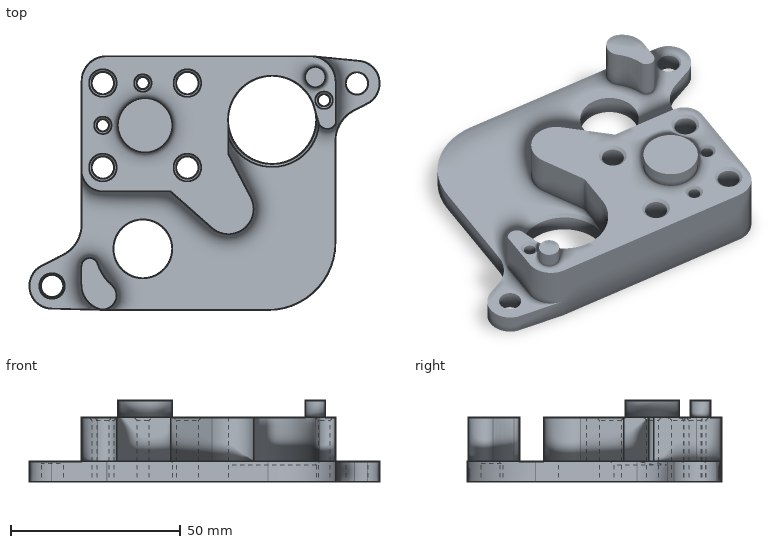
import cadquery as cq
import math

side = 75.0
plate_height = 6.0
block_top = 19.0
total_height = 24.0
corner_radius = 7.5
large_corner_radius = 20.0

lug_radius = 6.7
lug_angle = math.radians(27)
lug_fillet = 10.0
left_lug = (-8.7, 7.1)
right_lug = (81.3, 67.0)

screw_diameter = 6.5
small_diameter = 3.5
block_chamfer = 0.8
lug_chamfer = 0.5
screw_pitch = 24.9
first_screw = (6.3, 42.1)
screw_row_top = first_screw[1] + screw_pitch
screw_column = first_screw[0]
small_holes = [
    (18.1, screw_row_top),
    (screw_column, first_screw[1] + screw_pitch / 2),
    (71.6, 62.0),
]
bore_center = (56.3, 56.2)
bore_diameter = 26.0
bore_chamfer = 0.9
window_center = (18.1, 18.1)
window_diameter = 17.3

block_front = 35.1
block_corner_radius = 6.2
elbow_x = 26.3
arm_center = (43.4, 29.9)
arm_radius = 7.5
notch = (bore_center[0] - bore_diameter / 2, 46.2)
finger_width = 4.9
finger_shoulder = 54.9
finger_tip = 53.5
finger_wall_start = 58.7

post_tip_radius = 2.5
post_tip_y = 12.9
post_foot = (6.2, 4.3)
post_foot_radius = 4.1
post_hollow_radius = 14.1

boss_center = (screw_column + screw_pitch / 2, small_holes[1][1])
boss_diameter = 16.0
pin_center = (69.0, 68.8)
pin_diameter = 6.0


def polar(center, radius, angle):
    """Point on a circle at an angle in radians."""
    return (center[0] + radius * math.cos(angle), center[1] + radius * math.sin(angle))


def direction(start, end):
    """Angle of the line from start to end."""
    return math.atan2(end[1] - start[1], end[0] - start[0])


def tangent_angle(center, radius, point, turn):
    """Angle on a circle where a line from point touches it; turn picks the side."""
    return direction(center, point) + turn * math.acos(radius / math.dist(center, point))


def cylinder(center, diameter, bottom, top):
    return (
        cq.Workplane("XY", origin=(*center, bottom))
        .circle(diameter / 2)
        .extrude(top - bottom)
    )


def drill(center, diameter, top, chamfer):
    """Through hole cutter with a 45 degree chamfer at its top."""
    cone = cq.Solid.makeCone(
        diameter / 2, diameter / 2 + chamfer, chamfer, cq.Vector(*center, top - chamfer)
    )
    return cylinder(center, diameter, 0, top).union(cq.Workplane(cone))


def add_lug(body, center, corner, wall_x, side_sign):
    """Add a round-ended lug; side_sign is 1 on the right and -1 (half-turned) on the left."""
    spacing = math.dist(corner, center)
    half_turn = 0 if side_sign > 0 else math.pi
    outer = direction(corner, center) + math.acos((corner_radius - lug_radius) / spacing)
    inner = half_turn + lug_angle - math.pi / 2
    inner_start = polar(center, lug_radius, inner)
    junction = (wall_x, inner_start[1] + (wall_x - inner_start[0]) * math.tan(lug_angle))
    lug = (
        cq.Workplane("XY")
        .moveTo(*polar(corner, corner_radius, outer))
        .lineTo(*polar(center, lug_radius, outer))
        .threePointArc(polar(center, lug_radius, half_turn), inner_start)
        .lineTo(*junction)
        .lineTo(corner[0], junction[1])
        .close()
        .extrude(plate_height)
    )
    joined = body.union(lug)
    crease = cq.selectors.NearestToPointSelector((*junction, plate_height / 2))
    return joined.edges("|Z").edges(crease).fillet(lug_fillet)


def make_plate():
    plate = cq.Workplane("XY").rect(side, side, centered=False).extrude(plate_height)
    plate = plate.edges("|Z").edges(">X").edges("<Y").fillet(large_corner_radius)
    plate = plate.edges("|Z").edges("<X or >Y").fillet(corner_radius)
    near = corner_radius
    far = side - corner_radius
    plate = add_lug(plate, left_lug, (near, near), 0, -1)
    plate = add_lug(plate, right_lug, (far, far), side, 1)
    plate = plate.cut(drill(bore_center, bore_diameter, plate_height, bore_chamfer))
    return plate.cut(cylinder(window_center, window_diameter, 0, plate_height))


def make_block():
    elbow = (elbow_x, block_front)
    arm_left = tangent_angle(arm_center, arm_radius, elbow, 1)
    arm_right = tangent_angle(arm_center, arm_radius, notch, -1)
    finger_left = side - finger_width
    wall_start_x = bore_center[0] + math.sqrt(
        (bore_diameter / 2) ** 2 - (finger_wall_start - bore_center[1]) ** 2
    )
    block = (
        cq.Workplane("XY")
        .moveTo(0, block_front)
        .lineTo(*elbow)
        .lineTo(*polar(arm_center, arm_radius, arm_left))
        .threePointArc(
            polar(arm_center, arm_radius, -math.pi / 4),
            polar(arm_center, arm_radius, arm_right),
        )
        .lineTo(*notch)
        .lineTo(notch[0], bore_center[1])
        .lineTo(wall_start_x, finger_wall_start)
        .lineTo(finger_left, finger_shoulder)
        .threePointArc((side - finger_width / 2, finger_tip), (side, finger_shoulder))
        .lineTo(side, side)
        .lineTo(0, side)
        .close()
        .extrude(block_top)
    )
    block = block.edges("|Z").edges(">Y").fillet(corner_radius)
    block = block.edges("|Z").edges("<X").edges("<Y").fillet(block_corner_radius)
    return block.cut(cylinder(bore_center, bore_diameter, 0, block_top))


def make_post():
    """Post that follows the plate corner outside and the window inside."""
    corner = (corner_radius, corner_radius)
    tip = (post_tip_radius, post_tip_y)
    to_tip = direction(window_center, tip)
    to_foot = direction(window_center, post_foot)
    foot_start = direction(corner, post_foot)
    return (
        cq.Workplane("XY")
        .moveTo(0, post_tip_y)
        .lineTo(0, corner_radius)
        .threePointArc(
            polar(corner, corner_radius, math.radians(225)),
            polar(corner, corner_radius, foot_start),
        )
        .threePointArc(
            polar(post_foot, post_foot_radius, 0),
            polar(window_center, post_hollow_radius, to_foot),
        )
        .threePointArc(
            polar(window_center, post_hollow_radius, (to_foot + to_tip) / 2),
            polar(window_center, post_hollow_radius, to_tip),
        )
        .threePointArc(polar(tip, post_tip_radius, math.pi / 2), (0, post_tip_y))
        .close()
        .extrude(block_top)
    )


result = make_plate().union(make_block()).union(make_post())

for column in range(2):
    for row in range(2):
        center = (first_screw[0] + column * screw_pitch, first_screw[1] + row * screw_pitch)
        result = result.cut(drill(center, screw_diameter, block_top, block_chamfer))

for center in small_holes:
    result = result.cut(drill(center, small_diameter, block_top, block_chamfer))

result = result.cut(drill(left_lug, screw_diameter, plate_height, lug_chamfer))
result = result.cut(cylinder(right_lug, screw_diameter, 0, plate_height))

result = result.union(cylinder(boss_center, boss_diameter, block_top, total_height))
result = result.union(cylinder(pin_center, pin_diameter, block_top, total_height))